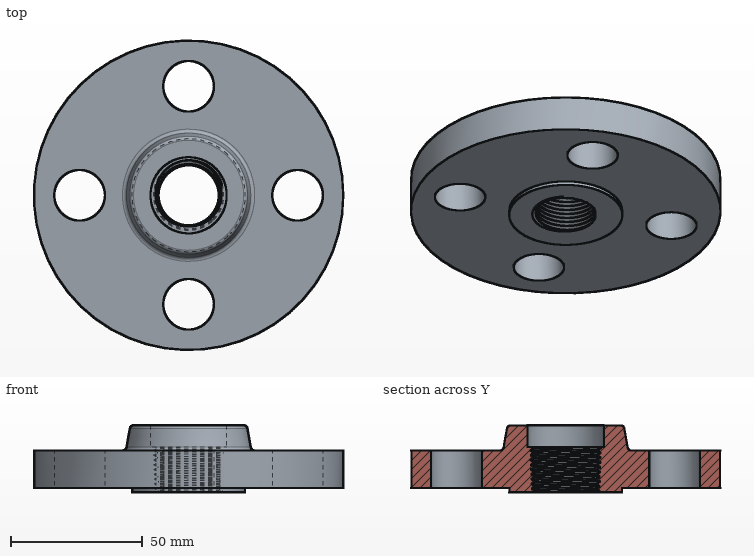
import cadquery as cq
import math

flange_diameter = 117.32
flange_thickness = 14.3
raised_face_diameter = 42.9
raised_face_height = 1.6
total_height = 25.46

hub_base_diameter = 47.6
hub_draft_angle = 10.0
hub_top_round = 1.5
hub_root_fillet = 1.5

bolt_hole_count = 4
bolt_circle_diameter = 82.6
bolt_hole_diameter = 19.1

counterbore_diameter = 28.9
counterbore_depth = 8.2
thread_pitch = 25.4 / 14
thread_depth = 0.8 * thread_pitch
thread_major_radius = 26.67 / 2
thread_flank_angle = 30.0
thread_taper = 1 / 32
thread_start_angle = 90.0
groove_overlap = 0.05

selection_margin = 0.1

flange_top_z = raised_face_height + flange_thickness
hub_height = total_height - flange_top_z
counterbore_floor_z = total_height - counterbore_depth


def root_radius(z):
    """Radius of the thread root at height z."""
    return thread_major_radius - (counterbore_floor_z - z) * thread_taper


def crest_radius(z):
    """Radius of the thread crest at height z."""
    return root_radius(z) - thread_depth


def make_hub():
    """Sharp-edged tapered hub standing on the flange."""
    base_radius = hub_base_diameter / 2
    top_radius = base_radius - hub_height * math.tan(math.radians(hub_draft_angle))
    hub_profile = (
        cq.Workplane("XZ")
        .moveTo(0, flange_top_z)
        .lineTo(base_radius, flange_top_z)
        .lineTo(top_radius, total_height)
        .lineTo(0, total_height)
        .close()
    )
    return hub_profile.revolve(360, (0, 0), (0, 1))


def make_body():
    """Raised face, flange disc and hub, with the hub edges rounded."""
    raised_face = cq.Workplane("XY").circle(raised_face_diameter / 2).extrude(raised_face_height)
    disc = (
        cq.Workplane("XY")
        .workplane(offset=raised_face_height)
        .circle(flange_diameter / 2)
        .extrude(flange_thickness)
    )
    body = raised_face.union(disc).union(make_hub())
    half_box = hub_base_diameter / 2 + selection_margin
    hub_root_edge = cq.selectors.BoxSelector(
        (-half_box, -half_box, flange_top_z - selection_margin),
        (half_box, half_box, flange_top_z + selection_margin),
        boundingbox=True,
    )
    body = body.edges(hub_root_edge).fillet(hub_root_fillet)
    return body.faces(">Z").edges().fillet(hub_top_round)


def make_bolt_holes():
    """Through holes evenly spaced on the bolt circle."""
    return (
        cq.Workplane("XY")
        .polarArray(bolt_circle_diameter / 2, 0, 360, bolt_hole_count)
        .circle(bolt_hole_diameter / 2)
        .extrude(total_height)
    )


def make_bore():
    """Counterbore above a conical bore at the thread crests."""
    counterbore_radius = counterbore_diameter / 2
    return (
        cq.Workplane("XZ")
        .lineTo(crest_radius(0), 0)
        .lineTo(crest_radius(counterbore_floor_z), counterbore_floor_z)
        .lineTo(counterbore_radius, counterbore_floor_z)
        .lineTo(counterbore_radius, total_height)
        .lineTo(0, total_height)
        .close()
        .revolve(360, (0, 0), (0, 1))
    )


def make_thread_groove():
    """Helical V groove along the conical bore, running out past both its ends."""
    turns_below_floor = math.ceil(counterbore_floor_z / thread_pitch) + 1
    start_z = counterbore_floor_z - turns_below_floor * thread_pitch
    length = (turns_below_floor + 1) * thread_pitch
    taper_angle = math.degrees(math.atan(thread_taper))
    inner_radius = crest_radius(start_z) - groove_overlap
    half_width = (thread_depth + groove_overlap) * math.tan(math.radians(thread_flank_angle))

    corners = [(inner_radius, -half_width), (root_radius(start_z), 0), (inner_radius, half_width)]
    helices = [
        cq.Wire.makeHelix(thread_pitch, length, radius, angle=taper_angle).translate(cq.Vector(0, 0, z))
        for radius, z in corners
    ]

    faces = []
    for index, helix in enumerate(helices):
        next_helix = helices[(index + 1) % len(helices)]
        faces.extend(cq.Face.makeRuledSurface(helix, next_helix).Faces())
    for ends in ([helix.startPoint() for helix in helices], [helix.endPoint() for helix in helices]):
        faces.append(cq.Face.makeFromWires(cq.Wire.makePolygon(ends, close=True)))

    groove = cq.Workplane(cq.Solid.makeSolid(cq.Shell.makeShell(faces)))
    return groove.rotate((0, 0, 0), (0, 0, 1), thread_start_angle).translate((0, 0, start_z))


flange = make_body().cut(make_bolt_holes()).cut(make_bore()).cut(make_thread_groove())
result = flange.solids()